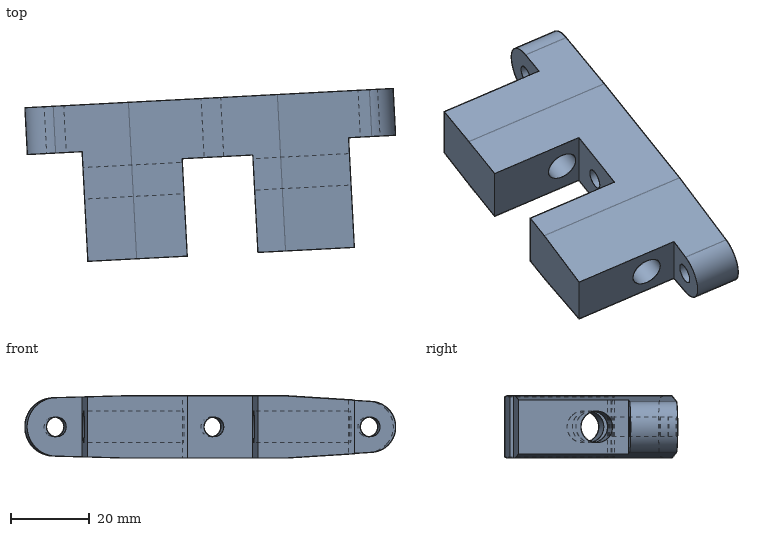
import cadquery as cq
import math

length = 94.0
left_radius = 7.5
right_radius = 6.5
height = 16.0
flat_start = 26.5
flat_end = 64.45
left_center = left_radius
right_center = length - right_radius

bar_depth = 12.0
total_depth = 40.0
arms_start = 14.0
arms_end = 82.0
slot_start = 39.4
slot_end = 57.4
slot_floor = 15.1

bolt_diameter = 5.0
pin_diameter = 8.0
pin_depth = 20.0

tilt = 3.0


def tangent_point(center, radius, corner, side):
    """Upper point where the line from a corner of the flat touches an end circle.

    side is -1 for the left end and +1 for the right end.
    """
    run = abs(corner - center)
    rise = height / 2
    angle = math.atan2(rise, run) + math.acos(radius / math.hypot(run, rise))
    return center - side * radius * math.cos(angle), radius * math.sin(angle)


def make_profile_body():
    """Side outline carried from the back face (Y = 0) to the arm fronts."""
    left_x, left_z = tangent_point(left_center, left_radius, flat_start, -1)
    right_x, right_z = tangent_point(right_center, right_radius, flat_end, 1)
    return (
        cq.Workplane("XZ")
        .moveTo(left_x, left_z)
        .lineTo(flat_start, height / 2)
        .lineTo(flat_end, height / 2)
        .lineTo(right_x, right_z)
        .threePointArc((length, 0), (right_x, -right_z))
        .lineTo(flat_end, -height / 2)
        .lineTo(flat_start, -height / 2)
        .lineTo(left_x, -left_z)
        .threePointArc((0, 0), (left_x, left_z))
        .close()
        .extrude(total_depth)
    )


def make_plan():
    """Plan outline of the bar and its two arms."""
    return (
        cq.Workplane("XY")
        .workplane(offset=-height / 2)
        .polyline([
            (0, 0),
            (length, 0),
            (length, -bar_depth),
            (arms_end, -bar_depth),
            (arms_end, -total_depth),
            (slot_end, -total_depth),
            (slot_end, -slot_floor),
            (slot_start, -slot_floor),
            (slot_start, -total_depth),
            (arms_start, -total_depth),
            (arms_start, -bar_depth),
            (0, -bar_depth),
        ])
        .close()
        .extrude(height)
    )


body = make_profile_body().intersect(make_plan())

middle_center = (left_center + right_center) / 2
bolt_holes = (
    cq.Workplane("XZ")
    .pushPoints([(x, 0) for x in (left_center, middle_center, right_center)])
    .circle(bolt_diameter / 2)
    .extrude(total_depth)
)

pin_hole = (
    cq.Workplane("YZ")
    .center(-pin_depth, 0)
    .circle(pin_diameter / 2)
    .extrude(length)
)

result = body.cut(bolt_holes).cut(pin_hole).rotate((0, 0, 0), (0, 0, 1), tilt)